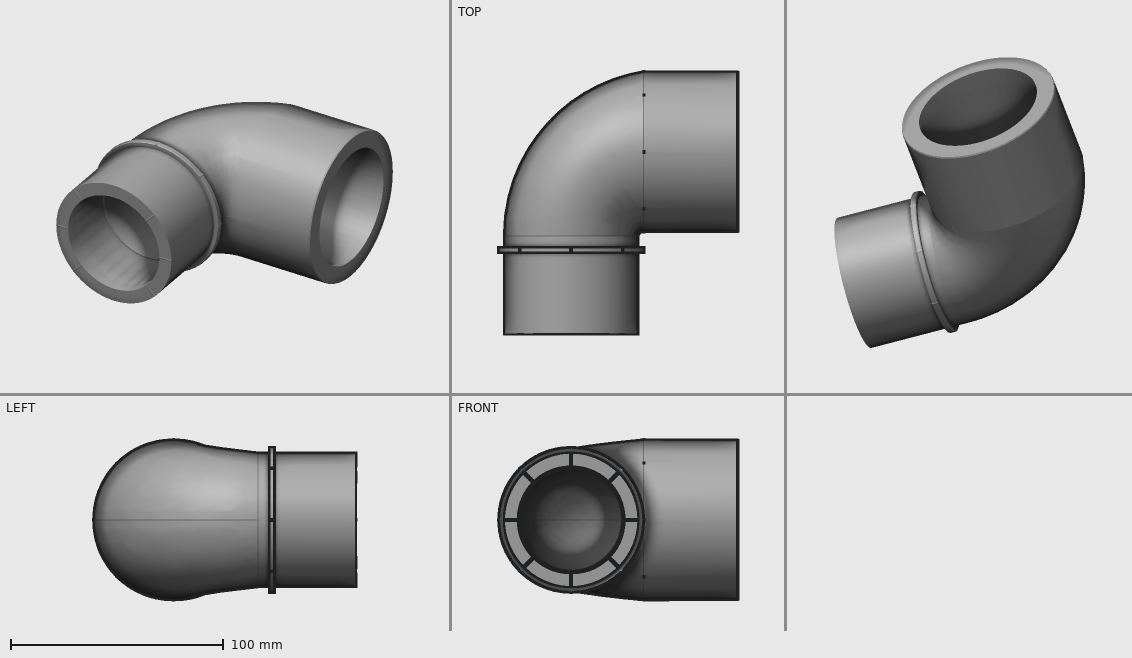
import cadquery as cq
import math


SPIGOT_DIAMETER = 63.3
SPIGOT_MOUTH = 50.2
SPIGOT_THROAT = 49.4
SPIGOT_BORE_DEPTH = 31.0
SPIGOT_JOINT = 39.7
SPIGOT_END = 85.82

SOCKET_DIAMETER = 75.6
SOCKET_JOINT = 33.9
SOCKET_END = 78.64
SOCKET_CHAMFER_LENGTH = 0.7
SOCKET_CHAMFER_DEPTH = 0.3

BEND_BORE_START = 48.15
BEND_BORE_END = 58.19
BEND_STEPS = 6

COLLAR_DIAMETER = 68.5
COLLAR_WIDTH = 2.85
COLLAR_GAP = 5.05
COLLAR_CHAMFER = 0.35

MARK_COUNT = 8
MARK_DIAMETER = 1.9
MARK_HEIGHT = 0.12
SOCKET_MARK_LENGTH = 0.5

MARK_SINK = MARK_DIAMETER / 2 - MARK_HEIGHT
SPIGOT_LENGTH = SPIGOT_END - SPIGOT_JOINT
SOCKET_LENGTH = SOCKET_END - SOCKET_JOINT
COLLAR_START = -SPIGOT_JOINT - COLLAR_GAP - COLLAR_WIDTH

Z_AXIS = cq.Vector(0, 0, 1)


def spigot_plane(y):
    """Plane across the spigot whose normal points into the bend."""
    return cq.Plane((0, y, 0), (1, 0, 0), (0, 1, 0))


def socket_plane(x):
    """Plane across the socket whose normal points out of the bend."""
    return cq.Plane((x, 0, 0), (0, 1, 0), (1, 0, 0))


def cylinder(plane, diameter, length):
    return cq.Workplane(plane).circle(diameter / 2).extrude(length)


def arc_distance(start, end, angle):
    """Distance from the bend pivot to an arc that starts square to the spigot joint.

    The arc lies at distance start from the pivot at 0 degrees and at distance end at 90 degrees.
    """
    arc_radius = (start**2 + end**2) / (2 * start)
    offset = arc_radius - start
    return math.sqrt(arc_radius**2 - (offset * math.sin(angle))**2) - offset * math.cos(angle)


def bend(start_diameter, end_diameter):
    """Elbow lofted through ellipses that turn about the crossing of the two joint planes.

    Each ellipse is two half ellipses that meet in the plane of symmetry.
    """
    start_radius = start_diameter / 2
    end_radius = end_diameter / 2
    pivot = cq.Vector(SOCKET_JOINT, -SPIGOT_JOINT, 0)
    sections = []
    for step in range(BEND_STEPS + 1):
        fraction = step / BEND_STEPS
        angle = fraction * math.pi / 2
        outer = arc_distance(SOCKET_JOINT + start_radius, SPIGOT_JOINT + end_radius, angle)
        inner = arc_distance(SOCKET_JOINT - start_radius, SPIGOT_JOINT - end_radius, angle)
        half_width = (outer - inner) / 2
        half_height = start_radius + (end_radius - start_radius) * fraction
        outward = cq.Vector(-math.cos(angle), math.sin(angle), 0)
        center = pivot + outward * ((outer + inner) / 2)
        along = cq.Vector(math.sin(angle), math.cos(angle), 0)
        halves = [
            cq.Edge.makeEllipse(half_height, half_width, center, along, Z_AXIS, first, first + 180)
            for first in (90, 270)
        ]
        sections.append(cq.Wire.assembleEdges(halves))
    return cq.Workplane(cq.Solid.makeLoft(sections))


def spigot():
    return cylinder(spigot_plane(-SPIGOT_END), SPIGOT_DIAMETER, SPIGOT_LENGTH)


def spigot_bore():
    """Bore that narrows from the mouth to a small shoulder, then runs straight to the bend."""
    entry = (
        cq.Workplane(spigot_plane(-SPIGOT_END))
        .circle(SPIGOT_MOUTH / 2)
        .workplane(offset=SPIGOT_BORE_DEPTH)
        .circle(SPIGOT_THROAT / 2)
        .loft()
    )
    return entry.union(cylinder(spigot_plane(-SPIGOT_END), BEND_BORE_START, SPIGOT_LENGTH))


def collar():
    ring = cylinder(spigot_plane(COLLAR_START), COLLAR_DIAMETER, COLLAR_WIDTH)
    return ring.edges().chamfer(COLLAR_CHAMFER)


def socket():
    pipe = cylinder(socket_plane(SOCKET_JOINT), SOCKET_DIAMETER, SOCKET_LENGTH)
    return pipe.faces(">X").chamfer(SOCKET_CHAMFER_LENGTH, SOCKET_CHAMFER_DEPTH)


def around(pin, axis):
    """Copies of a pin spaced evenly about an axis through the origin."""
    return [pin.rotate((0, 0, 0), axis, i * 360 / MARK_COUNT) for i in range(MARK_COUNT)]


def spigot_end_marks():
    """Radial ridges across the wall of the end face."""
    plane = cq.Plane((SPIGOT_MOUTH / 2, -SPIGOT_END + MARK_SINK, 0), (0, 1, 0), (1, 0, 0))
    outer_reach = math.sqrt((SPIGOT_DIAMETER / 2)**2 - (MARK_DIAMETER / 2)**2)
    pin = cylinder(plane, MARK_DIAMETER, outer_reach - SPIGOT_MOUTH / 2)
    return around(pin, (0, 1, 0))


def collar_marks():
    """Ridges across the rim of the collar."""
    plane = spigot_plane(COLLAR_START)
    pin = cylinder(plane, MARK_DIAMETER, COLLAR_WIDTH)
    pin = pin.translate((COLLAR_DIAMETER / 2 - MARK_SINK, 0, 0))
    return around(pin, (0, 1, 0))


def socket_marks():
    """Short ridges round the socket beside the bend."""
    plane = socket_plane(SOCKET_JOINT)
    pin = cylinder(plane, MARK_DIAMETER, SOCKET_MARK_LENGTH)
    pin = pin.translate((0, 0, SOCKET_DIAMETER / 2 - MARK_SINK))
    return around(pin, (1, 0, 0))


def outside():
    body = bend(SPIGOT_DIAMETER, SOCKET_DIAMETER).union(spigot()).union(socket()).union(collar())
    for pin in spigot_end_marks() + collar_marks() + socket_marks():
        body = body.union(pin)
    return body


def inside():
    socket_bore = cylinder(socket_plane(SOCKET_JOINT), BEND_BORE_END, SOCKET_LENGTH)
    return [spigot_bore(), bend(BEND_BORE_START, BEND_BORE_END), socket_bore]


result = outside()
for bore in inside():
    result = result.cut(bore)